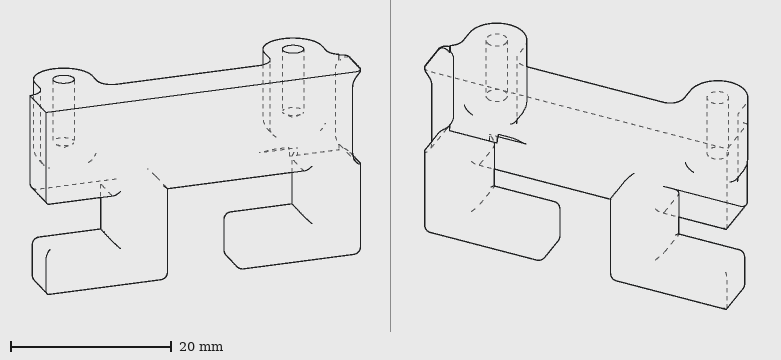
import cadquery as cq
import math

length = 41.75
thickness = 6.0
plate_height = 12.7
total_height = 24.75
total_width = 13.5
front_x = total_width - thickness
edge_round = 1.0
runout = 4.18

arm_thickness = 6.0
near_hook_back = 16.32
near_stem_inner = 9.0
far_hook_tip = 25.25
far_stem_inner = 34.25
arm_top_z = arm_thickness - total_height

boss_radius = 3.75
boss_height = 11.02
boss_spacing = 30.23
boss_bottom_round = 1.95
root_round = 1.95
root_corner_round = 0.02
root_sections = 7
root_start_x = front_x - root_round

hole_diameter = 2.67
hole_depth = 8.35
hole_tip_angle = 118.0

hollow_depth = 1.35
hollow_round = 2.0
hollow_top_z = -0.13


def make_outline_body(near_end):
    """Plate and hooks as one side outline extruded along X, starting at Y = near_end."""
    outline = [
        (near_end, 0),
        (near_end, -plate_height),
        (near_stem_inner, -plate_height),
        (near_stem_inner, arm_top_z),
        (near_end, arm_top_z),
        (near_end, -total_height),
        (near_hook_back, -total_height),
        (near_hook_back, -plate_height),
        (far_stem_inner, -plate_height),
        (far_stem_inner, arm_top_z),
        (far_hook_tip, arm_top_z),
        (far_hook_tip, -total_height),
        (length, -total_height),
        (length, 0),
    ]
    outer_corners = [
        (near_end, -plate_height),
        (near_end, arm_top_z),
        (near_end, -total_height),
        (near_hook_back, -total_height),
        (far_hook_tip, arm_top_z),
        (far_hook_tip, -total_height),
        (length, -total_height),
    ]
    body = cq.Workplane("YZ", origin=(front_x, 0, 0)).polyline(outline).close().extrude(thickness)
    mid_x = front_x + thickness / 2
    for y, z in outer_corners:
        body = body.edges(cq.selectors.NearestToPointSelector((mid_x, y, z))).fillet(edge_round)
    return body


def make_plate_with_hooks():
    """Round the edges of both large faces; the -Y edges of the back face stay sharp."""
    front = make_outline_body(0)
    near_plate_edges = cq.selectors.BoxSelector(
        (0, -edge_round, -plate_height - edge_round), (total_width, near_stem_inner - edge_round, edge_round)
    )
    front_edges = front.faces("<X").edges("not >Z").vals()
    sharp_edges = near_plate_edges.filter(front_edges)
    rounded_edges = [edge for edge in front_edges if edge not in sharp_edges]
    front = front.newObject(rounded_edges).fillet(edge_round)

    back = make_outline_body(-runout)
    back = back.faces(">X").edges("not >Z").fillet(edge_round)
    return front.intersect(back)


def root_section(center_y, angle):
    """Cross-section of the blend from boss to plate; the angle runs from 0 at the boss to 90."""
    flare = root_round * (1 - math.cos(math.radians(angle)))
    x = root_start_x + root_round * math.sin(math.radians(angle))
    half_width = boss_radius + flare
    bottom_z = -boss_height - flare
    corner = boss_bottom_round + (root_corner_round - boss_bottom_round) * angle / 90
    diagonal = corner * (1 - math.sqrt(0.5))
    return (
        cq.Workplane("YZ", origin=(x, center_y, 0))
        .moveTo(-half_width, 0)
        .lineTo(-half_width, bottom_z + corner)
        .threePointArc((diagonal - half_width, bottom_z + diagonal), (corner - half_width, bottom_z))
        .lineTo(half_width - corner, bottom_z)
        .threePointArc((half_width - diagonal, bottom_z + diagonal), (half_width, bottom_z + corner))
        .lineTo(half_width, 0)
        .close()
        .val()
    )


def make_boss_limits():
    """Space in front of the plate that the roots may fill without covering its rounded edges."""
    limits = (
        cq.Workplane("XY", origin=(0, 0, -plate_height))
        .box(front_x, length - edge_round, plate_height, centered=False)
        .edges("|X and <Y and <Z")
        .fillet(edge_round)
    )
    lower_edge = (
        cq.Workplane("XY", origin=(0, near_hook_back, -plate_height))
        .box(front_x, far_stem_inner - near_hook_back, edge_round, centered=False)
    )
    return limits.cut(lower_edge)


def make_boss(center_y):
    """Rounded boss plus the flared root that joins it to the plate."""
    boss = (
        cq.Workplane("XY", origin=(0, center_y, 0))
        .moveTo(root_start_x, boss_radius)
        .lineTo(boss_radius, boss_radius)
        .threePointArc((0, 0), (boss_radius, -boss_radius))
        .lineTo(root_start_x, -boss_radius)
        .close()
        .extrude(-boss_height)
    )
    boss = boss.faces("<Z").edges("not >X").fillet(boss_bottom_round)

    angles = [90 * step / (root_sections - 1) for step in range(root_sections)]
    root = cq.Solid.makeLoft([root_section(center_y, angle) for angle in angles])
    return boss.union(cq.Workplane(root)).intersect(make_boss_limits())


def make_screw_hole(center_y):
    """Cylinder with a conical tip, cut down from the top face."""
    radius = hole_diameter / 2
    tip_depth = hole_depth + radius / math.tan(math.radians(hole_tip_angle / 2))
    return (
        cq.Workplane("XZ", origin=(boss_radius, center_y, 0))
        .polyline([(0, 0), (radius, 0), (radius, -hole_depth), (0, -tip_depth)])
        .close()
        .revolve(360, (0, 0), (0, 1))
    )


def make_end_hollow():
    """Trough along X whose floor curves out to the end face at its top and bottom."""
    floor_y = length - hollow_depth
    arc_center_y = floor_y + hollow_round
    curve_height = math.sqrt(hollow_round**2 - (hollow_round - hollow_depth) ** 2)
    mid_angle = math.asin(curve_height / hollow_round) / 2
    mid_y = arc_center_y - hollow_round * math.cos(mid_angle)
    mid_height = curve_height - hollow_round * math.sin(mid_angle)
    return (
        cq.Workplane("YZ")
        .moveTo(length, hollow_top_z)
        .threePointArc((mid_y, hollow_top_z - mid_height), (floor_y, hollow_top_z - curve_height))
        .lineTo(floor_y, -plate_height + curve_height)
        .threePointArc((mid_y, -plate_height + mid_height), (length, -plate_height))
        .close()
        .extrude(total_width)
    )


boss_centers = [(length - boss_spacing) / 2, (length + boss_spacing) / 2]

result = make_plate_with_hooks()
for boss_y in boss_centers:
    result = result.union(make_boss(boss_y))
for boss_y in boss_centers:
    result = result.cut(make_screw_hole(boss_y))
result = result.cut(make_end_hollow())